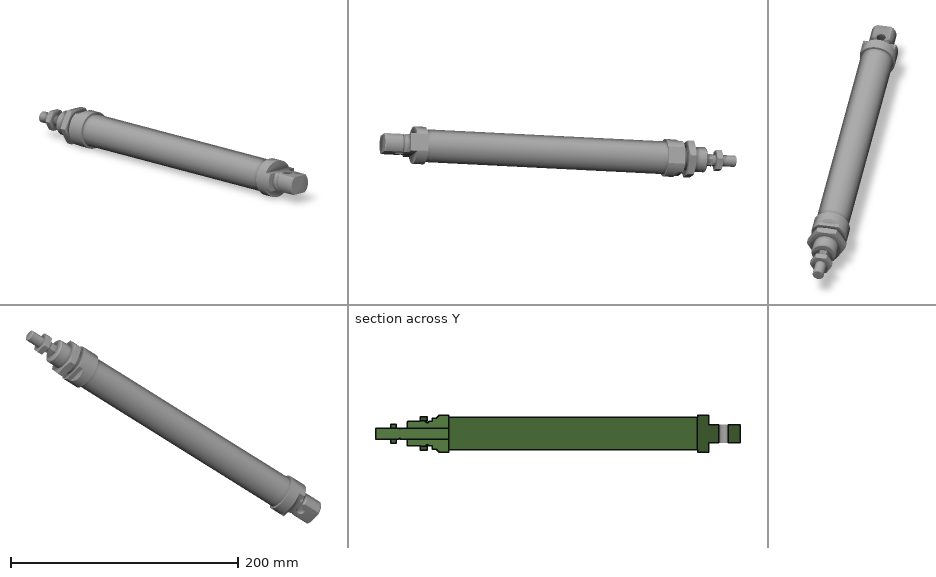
import cadquery as cq
import math

LENGTH = 321.0

HEX_SIDES = 6

ROD_DIA = 10.0
ROD_CHAMFER = 0.5
WRENCH_START = 21.5
WRENCH_FLATS = 10.0

ROD_NUT_START = 13.2
ROD_NUT_THICKNESS = 5.5
ROD_NUT_FLATS = 17.0
MOUNT_NUT_START = 39.2
MOUNT_NUT_THICKNESS = 6.5
MOUNT_NUT_CORNERS = 34.7
MOUNT_NUT_FLATS = MOUNT_NUT_CORNERS * math.cos(math.pi / HEX_SIDES)
NUT_CHAMFER_ANGLE = 15.0

THREAD_DIA = 22.0
THREAD_GROOVE_DIA = 20.0
THREAD_GROOVE_WIDTH = 1.0
THREAD_COLLAR = 2.5
THREAD_CHAMFER = 1.0

CAP_DIA = 33.0
CAP_SIDE_FLAT_Y = 14.8
BARREL_DIA = 29.0
NECK_START = 27.5
FRONT_CAP_START = 49.8
BARREL_START = 65.0
BARREL_END = 283.0
REAR_CAP_END = 299.0

CAP_FLATS = 28.0
CAP_FLAT_LENGTH = 4.0

EYE_FLATS = 16.0
EYE_FLAT_START = 293.0
EYE_HOLE_DIA = 8.0
EYE_HOLE_X = 306.0


def turned(profile):
    """Solid of revolution about the X axis from (x, radius) points that start and end on the axis."""
    return cq.Workplane("XZ").polyline(profile).close().revolve(360, (0, 0, 0), (1, 0, 0))


def disc(diameter, start, end):
    """Round bar on the X axis."""
    radius = diameter / 2
    return turned([(start, 0), (start, radius), (end, radius), (end, 0)])


def chamfered_disc(diameter, start, end, chamfer):
    """Round bar on the X axis with both ends chamfered."""
    radius = diameter / 2
    return turned(
        [
            (start, 0),
            (start, radius - chamfer),
            (start + chamfer, radius),
            (end - chamfer, radius),
            (end, radius - chamfer),
            (end, 0),
        ]
    )


def hexagon(flats, start, end):
    """Hexagonal bar on the X axis with corners on +Y and -Y."""
    corners = flats / math.cos(math.pi / HEX_SIDES)
    return cq.Workplane("YZ").workplane(offset=start).polygon(HEX_SIDES, corners).extrude(end - start)


def make_nut(flats, bore, start, thickness):
    """Hexagon nut with its corners turned to a cone at both faces."""
    end = start + thickness
    face_radius = flats / 2
    corner_radius = face_radius / math.cos(math.pi / HEX_SIDES)
    depth = (corner_radius - face_radius) * math.tan(math.radians(NUT_CHAMFER_ANGLE))
    envelope = turned(
        [
            (start, 0),
            (start, face_radius),
            (start + depth, corner_radius),
            (end - depth, corner_radius),
            (end, face_radius),
            (end, 0),
        ]
    )
    return hexagon(flats, start, end).intersect(envelope).cut(disc(bore, start, end))


def thread(tip, base):
    """Threaded neck with a chamfered tip and a groove with sloped sides ahead of its base collar."""
    toward_tip = math.copysign(1, tip - base)
    radius = THREAD_DIA / 2
    groove_radius = THREAD_GROOVE_DIA / 2
    taper = toward_tip * (radius - groove_radius)
    collar_end = base + toward_tip * THREAD_COLLAR
    groove_base = collar_end + taper
    groove_tip = groove_base + toward_tip * THREAD_GROOVE_WIDTH
    return turned(
        [
            (base, 0),
            (base, radius),
            (collar_end, radius),
            (groove_base, groove_radius),
            (groove_tip, groove_radius),
            (groove_tip + taper, radius),
            (tip - toward_tip * THREAD_CHAMFER, radius),
            (tip, radius - THREAD_CHAMFER),
            (tip, 0),
        ]
    )


def cap_blank(start, end):
    """Round cap with one flat along its +Y side."""
    waste = cq.Workplane("XY").box(end - start, CAP_DIA, CAP_DIA, centered=(False, False, True))
    return disc(CAP_DIA, start, end).cut(waste.translate((start, CAP_SIDE_FLAT_Y, 0)))


def make_rod():
    stud = chamfered_disc(ROD_DIA, 0, WRENCH_START, ROD_CHAMFER)
    wrench = hexagon(WRENCH_FLATS, WRENCH_START, NECK_START)
    shank = disc(ROD_DIA, NECK_START, BARREL_START)
    return stud.union(wrench).union(shank)


def make_front_cap():
    cap = cap_blank(FRONT_CAP_START, BARREL_START)
    run_out = (CAP_DIA - CAP_FLATS) / 2
    flat_end = FRONT_CAP_START + CAP_FLAT_LENGTH
    flat_cut = (
        cq.Workplane("XZ")
        .moveTo(FRONT_CAP_START, CAP_FLATS / 2)
        .lineTo(flat_end, CAP_FLATS / 2)
        .lineTo(flat_end + run_out, CAP_DIA / 2)
        .lineTo(FRONT_CAP_START, CAP_DIA / 2)
        .close()
        .extrude(CAP_DIA / 2, both=True)
    )
    cap = cap.cut(flat_cut).cut(flat_cut.mirror("XY"))
    return cap.union(thread(NECK_START, FRONT_CAP_START)).cut(disc(ROD_DIA, NECK_START, BARREL_START))


def make_barrel():
    return disc(BARREL_DIA, BARREL_START, BARREL_END)


def make_rear_cap():
    cap = cap_blank(BARREL_END, REAR_CAP_END).union(thread(LENGTH, REAR_CAP_END))
    flange = disc(CAP_DIA, BARREL_END, EYE_FLAT_START)
    blade = cq.Workplane("XY").box(
        LENGTH - BARREL_END, CAP_DIA, EYE_FLATS, centered=(False, True, True)
    ).translate((BARREL_END, 0, 0))
    pin_hole = cq.Workplane("XY").center(EYE_HOLE_X, 0).circle(EYE_HOLE_DIA / 2).extrude(EYE_FLATS, both=True)
    return cap.intersect(blade.union(flange)).cut(pin_hole)


rod = make_rod()
rod_nut = make_nut(ROD_NUT_FLATS, ROD_DIA, ROD_NUT_START, ROD_NUT_THICKNESS)
front_cap = make_front_cap()
mounting_nut = make_nut(MOUNT_NUT_FLATS, THREAD_DIA, MOUNT_NUT_START, MOUNT_NUT_THICKNESS)
barrel = make_barrel()
rear_cap = make_rear_cap()

result = cq.Compound.makeCompound(
    [rod.val(), rod_nut.val(), mounting_nut.val(), front_cap.val(), barrel.val(), rear_cap.val()]
)